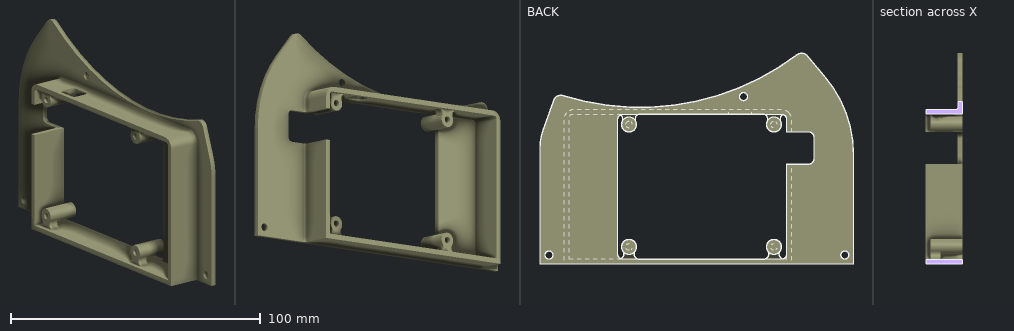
import cadquery as cq
import math


panel_width = 125.6
panel_thickness = 2.0
blank_height = 100.5
left_edge_height = 44.0
left_arc_radius = 47.7
left_arc_angle = math.radians(40)
top_arc_radius = 104.0
top_arc_center = (85.4, 166.8)
right_edge_height = 46.7
right_arc_radius = 20.1
right_arc_angle = math.radians(19.7)
peak_radius = 3.0
screw_hole_diameter = 3.1
screw_holes = [(3.5, 3.6), (122.0, 3.6), (44.1, 67.1)]

total_depth = 15.0
frame_depth = total_depth - panel_thickness
frame_left = 24.9
frame_right = 115.9
frame_top = 61.9
wall = 2.0
frame_corner_radius = 4.0
cavity_corner_radius = 1.3
root_fillet = 1.0
cavity_left = frame_left + wall
cavity_right = frame_right - wall
cavity_bottom = wall
cavity_top = frame_top - wall

window_right = 94.5
window_corner_radius = 2.0
notch_left = 16.0
notch_bottom = 40.1
notch_top = 52.9
notch_corner_radius = 2.0
port_left = 41.0
port_right = 50.1
port_near = 3.8
port_far = 11.0
port_corner_radius = 1.5

standoff_diameter = 6.0
standoff_radius = standoff_diameter / 2
standoff_columns = [31.9, 89.9]
lower_standoff_height = 6.9
upper_standoff_height = 55.9
standoff_recess = 2.0
standoff_front = frame_depth - standoff_recess
pilot_diameter = 2.6
pilot_depth = 8.0
rib_depth = 4.0
lower_rib_fillet = 2.0
upper_rib_width = 5.3
upper_rib_fillet = 1.5


def front_plane(depth=0.0):
    """Sketch plane parallel to the panel, facing -Y, at a distance in front of the panel."""
    return cq.Workplane("XZ", origin=(0, -depth, 0))


def slab(left, right, bottom, top, back, front):
    """Block between two depths, both measured forward from the panel's front face."""
    sketch = front_plane(back).moveTo((left + right) / 2, (bottom + top) / 2)
    return sketch.rect(right - left, top - bottom).extrude(front - back)


def line_meets_top_arc(point, direction):
    """First point where a line with a unit direction reaches the circle of the top edge."""
    dx = point[0] - top_arc_center[0]
    dz = point[1] - top_arc_center[1]
    along = dx * direction[0] + dz * direction[1]
    gap = dx**2 + dz**2 - top_arc_radius**2
    travel = -along - math.sqrt(along**2 - gap)
    return (point[0] + travel * direction[0], point[1] + travel * direction[1])


def side_arc(edge_x, inward, start_height, radius, angle):
    """Middle, end and leaving direction of an arc that bends inward from a vertical side."""

    def point_at(turn):
        return (
            edge_x + inward * radius * (1 - math.cos(turn)),
            start_height + radius * math.sin(turn),
        )

    return point_at(angle / 2), point_at(angle), (inward * math.sin(angle), math.cos(angle))


def make_outline():
    """Panel outline, extruded through the whole depth of the part."""
    left_mid, left_end, left_direction = side_arc(
        0, 1, left_edge_height, left_arc_radius, left_arc_angle
    )
    right_mid, right_end, right_direction = side_arc(
        panel_width, -1, right_edge_height, right_arc_radius, right_arc_angle
    )
    left_peak = line_meets_top_arc(left_end, left_direction)
    right_peak = line_meets_top_arc(right_end, right_direction)
    top_low_point = (top_arc_center[0], top_arc_center[1] - top_arc_radius)
    outline = (
        front_plane(-panel_thickness)
        .lineTo(panel_width, 0)
        .lineTo(panel_width, right_edge_height)
        .threePointArc(right_mid, right_end)
        .lineTo(*right_peak)
        .threePointArc(top_low_point, left_peak)
        .lineTo(*left_end)
        .threePointArc(left_mid, (0, left_edge_height))
        .close()
        .extrude(total_depth)
    )
    for x, z in (left_peak, right_peak):
        corner = cq.selectors.NearestToPointSelector((x, panel_thickness - total_depth / 2, z))
        outline = outline.edges("|Y").edges(corner).fillet(peak_radius)
    return outline


def make_body():
    """Solid frame block on the panel, with a root fillet that the panel outline trims."""
    blank = slab(0, panel_width, 0, blank_height, -panel_thickness, 0)
    block = slab(frame_left, frame_right, 0, frame_top, 0, frame_depth)
    block = block.edges("|Y and >Z").fillet(frame_corner_radius)
    root = cq.selectors.BoxSelector(
        (frame_left - root_fillet, -root_fillet / 2, root_fillet),
        (frame_right + root_fillet, root_fillet / 2, frame_top + root_fillet),
    )
    body = blank.union(block).edges(root).fillet(root_fillet)
    return body.intersect(make_outline())


def make_openings():
    """Frame cavity, panel window, left notch, top port and screw holes."""
    cavity = slab(cavity_left, cavity_right, cavity_bottom, cavity_top, 0, frame_depth)
    cavity = cavity.edges("|Y and >Z").fillet(cavity_corner_radius)
    window = slab(cavity_left, window_right, cavity_bottom, cavity_top, -panel_thickness, 0)
    window = window.edges("|Y").fillet(window_corner_radius)
    notch_right = (cavity_left + window_right) / 2
    notch = slab(notch_left, notch_right, notch_bottom, notch_top, -panel_thickness, frame_depth)
    notch = notch.edges("|Y and <X").fillet(notch_corner_radius)
    port = slab(port_left, port_right, cavity_top, frame_top, port_near, port_far)
    port = port.edges("|Z").fillet(port_corner_radius)
    holes = (
        front_plane(-panel_thickness)
        .pushPoints(screw_holes)
        .circle(screw_hole_diameter / 2)
        .extrude(panel_thickness)
    )
    return cavity.union(window).union(notch).union(port).union(holes)


def make_lower_rib(x):
    """Waisted foot whose concave sides are tangent to the standoff and to the lower wall."""
    reach = standoff_radius + lower_rib_fillet
    rise = lower_standoff_height - cavity_bottom - lower_rib_fillet
    foot = math.sqrt(reach**2 - rise**2)
    waist = foot - lower_rib_fillet
    waist_height = cavity_bottom + lower_rib_fillet
    join = foot * standoff_radius / reach
    join_height = lower_standoff_height - rise * standoff_radius / reach
    return (
        front_plane(standoff_front - rib_depth)
        .moveTo(x - foot, cavity_bottom)
        .lineTo(x + foot, cavity_bottom)
        .threePointArc((x + waist, waist_height), (x + join, join_height))
        .lineTo(x - join, join_height)
        .threePointArc((x - waist, waist_height), (x - foot, cavity_bottom))
        .close()
        .extrude(rib_depth)
    )


def make_upper_rib(x):
    """Straight neck with a rounded flare on each side where it meets the upper wall."""
    half = upper_rib_width / 2
    flare = half + upper_rib_fillet
    flare_height = cavity_top - upper_rib_fillet
    return (
        front_plane(standoff_front - rib_depth)
        .moveTo(x - flare, cavity_top)
        .lineTo(x + flare, cavity_top)
        .radiusArc((x + half, flare_height), -upper_rib_fillet)
        .lineTo(x + half, upper_standoff_height)
        .lineTo(x - half, upper_standoff_height)
        .lineTo(x - half, flare_height)
        .radiusArc((x - flare, cavity_top), -upper_rib_fillet)
        .close()
        .extrude(rib_depth)
    )


def add_standoffs(body):
    """Four standoffs, level with the panel's back face, with blind pilot holes at the front."""
    centers = [(x, z) for x in standoff_columns for z in (lower_standoff_height, upper_standoff_height)]
    for x in standoff_columns:
        body = body.union(make_lower_rib(x)).union(make_upper_rib(x))
    posts = (
        front_plane(-panel_thickness)
        .pushPoints(centers)
        .circle(standoff_radius)
        .extrude(panel_thickness + standoff_front)
    )
    pilots = (
        front_plane(standoff_front - pilot_depth)
        .pushPoints(centers)
        .circle(pilot_diameter / 2)
        .extrude(pilot_depth)
    )
    return body.union(posts).cut(pilots)


result = add_standoffs(make_body().cut(make_openings()))